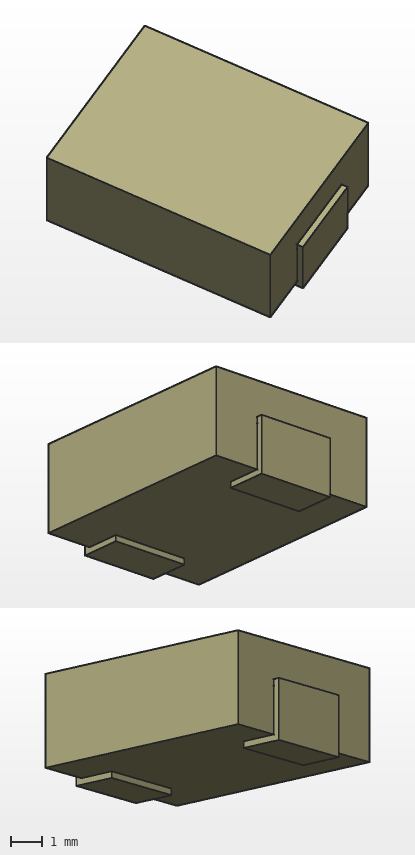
import cadquery as cq

overall_length = 8.6
overall_height = 3.3
housing_width = 6.3
strip_thickness = 0.215
strip_width = 2.86
terminal_height = 2.04
foot_length = 1.505

housing_length = overall_length - 2 * strip_thickness
housing_height = overall_height - strip_thickness
half_length = overall_length / 2
strap_bottom = terminal_height - strip_thickness


def make_lead():
    """One bent strip: a strap through the housing, a leg down each end and a foot turned under."""
    half_housing = housing_length / 2
    foot_end = half_length - foot_length
    profile = [
        (-half_length, 0),
        (-half_length, terminal_height),
        (half_length, terminal_height),
        (half_length, 0),
        (foot_end, 0),
        (foot_end, strip_thickness),
        (half_housing, strip_thickness),
        (half_housing, strap_bottom),
        (-half_housing, strap_bottom),
        (-half_housing, strip_thickness),
        (-foot_end, strip_thickness),
        (-foot_end, 0),
    ]
    return cq.Workplane("XZ").polyline(profile).close().extrude(strip_width / 2, both=True)


def make_housing():
    """Plain rectangular block resting on the feet, with a slot along X for the strap."""
    block = cq.Workplane("XY").workplane(offset=strip_thickness).rect(housing_length, housing_width)
    block = block.extrude(housing_height)
    slot = cq.Workplane("XY").workplane(offset=strap_bottom).rect(housing_length, strip_width)
    return block.cut(slot.extrude(strip_thickness))


housing = make_housing()
lead = make_lead()

result = cq.Compound.makeCompound([housing.solids().val(), lead.solids().val()])